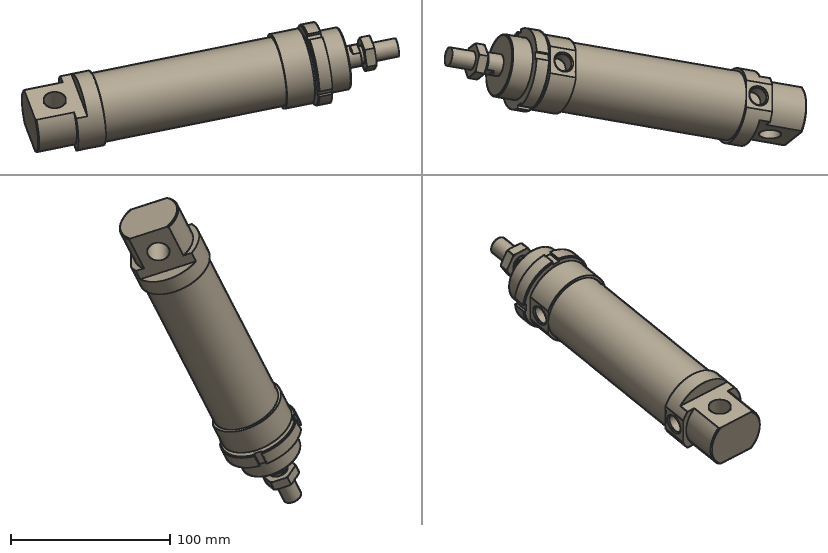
import cadquery as cq
import math

length = 239.0

tube_dia = 44.2
cap_dia = 48.0
cap_length = 18.0
boss_dia = 40.0
end_chamfer = 0.7
rear_cap_back = 25.0
rear_cap_front = rear_cap_back + cap_length
boss_front = 204.0
front_cap_front = 179.0
front_cap_back = front_cap_front - cap_length

eye_thickness = 29.6
eye_shoulder = 32.3
pin_hole_dia = 14.0
pin_hole_y = 16.3

port_flat_x = -22.2
port_dia = 11.5
port_mouth_dia = 13.1
port_mouth_depth = 1.0
port_depth = 9.5
port_offset = 0.5

ring_slot_depth = 1.98
ring_dia = cap_dia + 2 * ring_slot_depth
ring_length = 9.0
ring_front = 190.0
ring_back = ring_front - ring_length
ring_chamfer = 0.7
ring_slot_width = 4.8
ring_slot_count = 4

thread_dia = 12.0
neck_dia = 11.2
shoulder_dia = 14.0
shoulder_front = 214.5
flat_length = 4.8
flat_size = 12.0

hex_sides = 6
hex_size = 19.5
hex_length = 6.5
hex_front = 223.0
hex_back = hex_front - hex_length
hex_chamfer_angle = 30.0
hex_chamfer_dia = 21.3


def cylinder(dia, y_back, y_front):
    """Cylinder on the Y axis between two positions."""
    return cq.Workplane("XZ", origin=(0, y_front, 0)).circle(dia / 2).extrude(y_front - y_back)


def port(y):
    """Blind port with a countersunk mouth, cut inwards from the port flat at the given Y."""
    mouth = cq.Workplane("YZ", origin=(port_flat_x, y, 0))
    bore = mouth.circle(port_dia / 2).extrude(port_depth)
    countersink = (
        mouth.circle(port_mouth_dia / 2)
        .workplane(offset=port_mouth_depth)
        .circle(port_dia / 2)
        .loft()
    )
    return bore.union(countersink)


def end_cap(y_back, y_front):
    """Round end cap, cut flat on its -X side."""
    blank = cylinder(cap_dia, y_back, y_front)
    outside = cq.Workplane().box(cap_dia, length, cap_dia, centered=(True, False, True))
    return blank.cut(outside.translate((port_flat_x - cap_dia / 2, 0, 0)))


def make_body():
    eye = cylinder(boss_dia, 0, rear_cap_back).faces("<Y").chamfer(end_chamfer)
    boss = cylinder(boss_dia, front_cap_front, boss_front).faces(">Y").chamfer(end_chamfer)
    body = (
        cylinder(tube_dia, rear_cap_front, front_cap_back)
        .union(end_cap(rear_cap_back, rear_cap_front))
        .union(end_cap(front_cap_back, front_cap_front))
        .union(eye)
        .union(boss)
    )

    for side in (1, -1):
        waste = cq.Workplane().box(cap_dia, eye_shoulder, cap_dia, centered=(True, False, True))
        body = body.cut(waste.translate((0, 0, side * (eye_thickness + cap_dia) / 2)))

    pin_hole = (
        cq.Workplane("XY", origin=(0, pin_hole_y, -eye_thickness / 2))
        .circle(pin_hole_dia / 2)
        .extrude(eye_thickness)
    )
    body = body.cut(pin_hole)

    rear_port_y = (rear_cap_back + rear_cap_front) / 2 + port_offset
    front_port_y = (front_cap_back + front_cap_front) / 2 - port_offset
    return body.cut(port(rear_port_y)).cut(port(front_port_y))


def make_mounting_nut():
    nut = cylinder(ring_dia, ring_back, ring_front).faces("<Y").chamfer(ring_chamfer)
    nut = nut.cut(cylinder(boss_dia, ring_back, ring_front))
    slot = cq.Workplane().box(ring_slot_width, ring_length, ring_dia, centered=(True, False, False))
    slot = slot.translate((0, ring_back, cap_dia / 2))
    for i in range(ring_slot_count):
        nut = nut.cut(slot.rotate((0, 0, 0), (0, 1, 0), i * 360 / ring_slot_count))
    return nut


def make_rod():
    rod = (
        cylinder(shoulder_dia, boss_front, shoulder_front)
        .union(cylinder(neck_dia, shoulder_front, hex_back))
        .union(cylinder(thread_dia, hex_back, length))
    )
    flat_z = flat_size / 2
    outer_z = shoulder_dia
    flat_back = shoulder_front - flat_length
    waste = (
        cq.Workplane("YZ", origin=(-shoulder_dia / 2, 0, 0))
        .moveTo(shoulder_front, flat_z)
        .lineTo(flat_back, flat_z)
        .lineTo(flat_back - (outer_z - flat_z), outer_z)
        .lineTo(shoulder_front, outer_z)
        .close()
        .extrude(shoulder_dia)
    )
    rod = rod.cut(waste).cut(waste.mirror("XY"))
    return rod


def make_rod_nut():
    nut = (
        cq.Workplane("XZ", origin=(0, hex_front, 0))
        .polygon(hex_sides, hex_size, circumscribed=True)
        .extrude(hex_length)
        .rotate((0, 0, 0), (0, 1, 0), 180 / hex_sides)
    )
    corner_radius = hex_size / 2 / math.cos(math.pi / hex_sides)
    cone_radius = hex_chamfer_dia / 2
    cone_length = (corner_radius - cone_radius) * math.tan(math.radians(hex_chamfer_angle))
    envelope = (
        cq.Workplane("XY")
        .moveTo(0, hex_back)
        .lineTo(cone_radius, hex_back)
        .lineTo(corner_radius, hex_back + cone_length)
        .lineTo(corner_radius, hex_front - cone_length)
        .lineTo(cone_radius, hex_front)
        .lineTo(0, hex_front)
        .close()
        .revolve(360, (0, 0, 0), (0, 1, 0))
    )
    return nut.intersect(envelope).cut(cylinder(thread_dia, hex_back, hex_front))


body = make_body()
mounting_nut = make_mounting_nut()
rod = make_rod()
rod_nut = make_rod_nut()

result = cq.Compound.makeCompound([body.val(), mounting_nut.val(), rod.val(), rod_nut.val()])